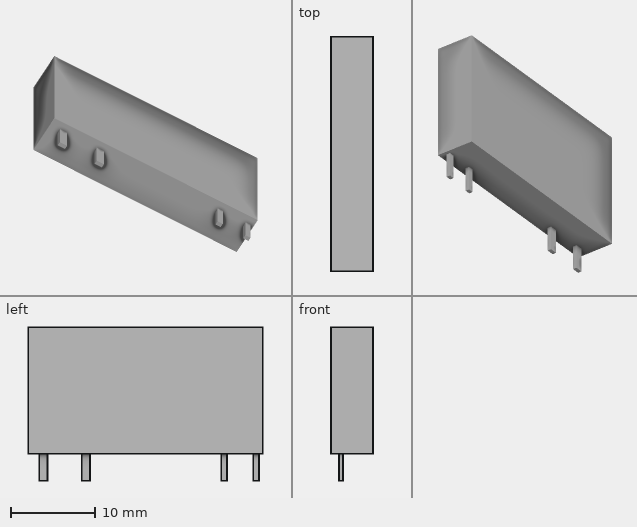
import cadquery as cq

housing_width = 5.0
housing_length = 27.8
housing_height = 15.0

pin_length = 3.2
pin_thickness = 0.5
pin_row_x = 1.2
narrow_pin_width = 0.7
wide_pin_width = 1.0

grid_pitch = 1.26
first_pin_y = 0.8
pin_layout = [
    (0, narrow_pin_width),
    (3, narrow_pin_width),
    (16, wide_pin_width),
    (20, wide_pin_width),
]


def make_housing():
    """Plain rectangular block standing on Z = 0."""
    return cq.Workplane("XY").box(housing_width, housing_length, housing_height, centered=False)


def make_pin(center_y, width):
    """Flat pin whose top face touches the underside of the housing."""
    return (
        cq.Workplane("XY")
        .center(pin_row_x, center_y)
        .rect(pin_thickness, width)
        .extrude(-pin_length)
    )


housing = make_housing()

pins = []
for grid_step, width in pin_layout:
    pin_y = first_pin_y + grid_step * grid_pitch
    pins.append(make_pin(pin_y, width).val())

result = cq.Compound.makeCompound([housing.val(), *pins])